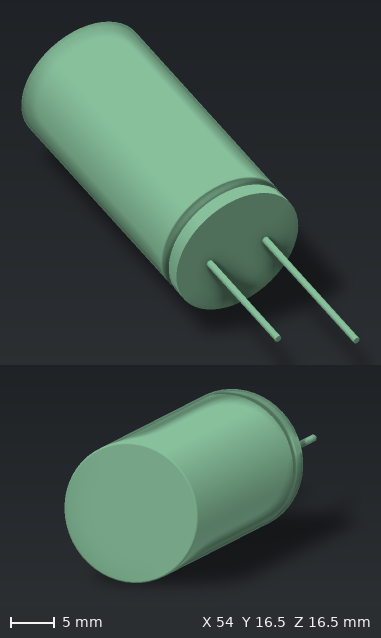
import cadquery as cq

overall_length = 54.0
can_length = 34.0
can_diameter = 16.5
end_round = 0.2

groove_radius = 0.65
groove_from_lead_end = 2.45
groove_lip_round = 0.15

lead_diameter = 0.8
lead_pitch = 7.5
short_lead_length = 15.0
long_lead_length = overall_length - can_length


def make_can():
    """Solid cylindrical can with a rounded closed end and a half-round crimp groove with rounded lips."""
    can_radius = can_diameter / 2
    groove_x = can_length - groove_from_lead_end
    groove_center_radius = can_radius - groove_lip_round
    groove_half_width = groove_radius + groove_lip_round
    profile = (
        cq.Workplane("XY")
        .lineTo(can_length, 0)
        .lineTo(can_length, can_radius)
        .lineTo(groove_x + groove_half_width, can_radius)
        .tangentArcPoint((groove_x + groove_radius, groove_center_radius), relative=False)
        .threePointArc(
            (groove_x, groove_center_radius - groove_radius),
            (groove_x - groove_radius, groove_center_radius),
        )
        .tangentArcPoint((groove_x - groove_half_width, can_radius), relative=False)
        .lineTo(0, can_radius)
        .close()
    )
    can = profile.revolve(360, (0, 0, 0), (1, 0, 0))
    return can.faces("<X").edges().fillet(end_round)


def make_lead(center_y, length):
    """Straight round wire that stands on the flat lead end of the can."""
    return (
        cq.Workplane("YZ", origin=(can_length, center_y, 0))
        .circle(lead_diameter / 2)
        .extrude(length)
    )


can = make_can()

leads = []
for side, length in ((1, long_lead_length), (-1, short_lead_length)):
    leads.append(make_lead(side * lead_pitch / 2, length))

result = cq.Compound.makeCompound([can.val(), *[lead.val() for lead in leads]])